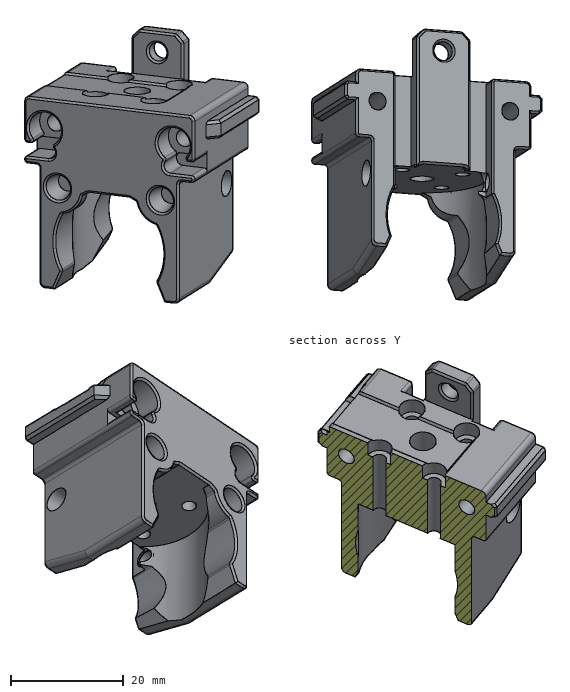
import cadquery as cq
import math

depth = 24.4
body_top = 34.95
body_half_width = 16.45
leg_half_width = 13.5
shoulder_z = 22.6
top_fillet = 1.0
shoulder_fillet = 0.6
foot_fillet = 1.0
foot_slope_start_y = 14.3
foot_slope_rise = 3.1
edge_chamfer = 0.4

arch_radius = 10.45
arch_z = 8.85
arch_top = 18.55
lip_z = 3.58
lip_fillet = 0.5
foot_gap_half_width = 10.65
boss_radius = 4.8
boss_blend = 0.5

bore_y = 12.6
bore_radius = 11.45

insert_mouth = 4.7
side_insert_mouth = 4.6
side_insert_end = 3.7
cross_hole = 3.4
insert_end = 3.4
insert_depth = 4.0
front_insert_x = 9.95
front_insert_z = 18.8
side_insert_y = 21.2
side_insert_z = 16.75

screw_x = 12.45
screw_z = 29.25
screw_hole = 3.2
screw_head = 6.25
screw_head_depth = 5.0
slot_depth = 5.85
slot_height = 2.55
slot_z = 25.15
slot_bottom = slot_z - slot_height / 2
slot_top = slot_z + slot_height / 2
slot_inner_x = 10.5
slot_mouth_fillet = 0.6
pocket_blend = 0.5

tab_top = 43.1
tab_width = 10.0
tab_thickness = 3
tab_corner = 1.45
tab_corner_fillet = 0.6
tab_hole = 3.4
tab_hole_z = 39.35
notch_half_width = 9.05
notch_fillet = 0.6
notch_depth = 3.27

rail_half_width = 18.505
rail_root_x = body_half_width - 0.45
rail_bottom = 29.25
rail_top = 32.55
rail_chamfer = 0.5
rail_front_y = 5.2

channel_width = 9.48
channel_depth = 0.4
channel_end_x = 7.93
mouth_floor_width = 8.15
mouth_depth = 3.1
mouth_inset = 0.47
mount_pitch = 11.3
mount_hole = 2.6
mount_head = 4.6
mount_head_depth = 3
center_hole = 4.2
center_head = 4.7
center_head_depth = 5.0

reach = 43.1
along_depth = (0, depth)


def box(x_range, y_range, z_range):
    """Box given by its lowest and highest coordinate along each axis."""
    size = [high - low for low, high in (x_range, y_range, z_range)]
    corner = (x_range[0], y_range[0], z_range[0])
    return cq.Workplane().box(*size, centered=False).translate(corner)


def prism_y(points, length=depth):
    """Extrude an XZ outline from the front face toward +Y."""
    return cq.Workplane("XZ").polyline(points).close().extrude(-length)


def prism_x(points, x_start, x_end):
    """Extrude a YZ outline between two X positions."""
    return cq.Workplane("YZ", origin=(x_start, 0, 0)).polyline(points).close().extrude(x_end - x_start)


def cylinder_y(x, z, diameter, length=depth):
    """Cylinder running from the front face toward +Y."""
    return cq.Workplane("XZ").center(x, z).circle(diameter / 2).extrude(-length)


def cylinder_z(x, y, diameter, z_start, z_end):
    return cq.Workplane(origin=(x, y, z_start)).circle(diameter / 2).extrude(z_end - z_start)


def cone(large_diameter, small_diameter, length, origin, direction):
    """Cone that narrows from origin along direction."""
    return cq.Workplane(obj=cq.Solid.makeCone(large_diameter / 2, small_diameter / 2, length,
                                              pnt=cq.Vector(*origin), dir=cq.Vector(*direction)))


def edges_within(x_range, y_range, z_range):
    """Selector for edges whose centre lies in the given ranges."""
    low, high = zip(x_range, y_range, z_range)
    return cq.selectors.BoxSelector(low, high)


def around(value):
    """Narrow range that picks out one coordinate."""
    return value - 0.05, value + 0.05



def make_half_body():
    body = prism_y([
        (0, 0),
        (leg_half_width, 0),
        (leg_half_width, shoulder_z),
        (body_half_width, shoulder_z),
        (body_half_width, body_top),
        (0, body_top),
    ])
    body = body.cut(prism_x([
        (foot_slope_start_y, 0),
        (depth, foot_slope_rise),
        (depth, 0),
    ], 0, leg_half_width))
    top_corner = edges_within(around(body_half_width), along_depth, around(body_top))
    shoulder_corners = edges_within((leg_half_width - 0.45, reach), along_depth, around(shoulder_z))
    foot_corners = edges_within(around(leg_half_width), (0.45, depth - 0.45), (-0.45, foot_slope_rise))
    body = body.edges(top_corner).fillet(top_fillet)
    body = body.edges("|Y").edges(shoulder_corners).fillet(shoulder_fillet)
    return body.edges(foot_corners).fillet(foot_fillet)


def make_half_arch():
    """Opening between the legs, with the boss left standing in it."""
    lip_half_width = math.sqrt(arch_radius**2 - (arch_z - lip_z)**2)
    arch = cylinder_y(0, arch_z, 2 * arch_radius)
    arch = arch.intersect(box((0, reach), along_depth, (lip_z, arch_top)))
    flare = [
        (0, 0),
        (0, lip_z),
        (lip_half_width, lip_z),
        (foot_gap_half_width, 0),
    ]
    arch = arch.union(prism_y(flare))
    arch = arch.cut(cylinder_y(front_insert_x, front_insert_z, 2 * boss_radius))
    boss_ends = edges_within((0.45, reach), along_depth, (arch_z + 2.15, arch_top - 0.2))
    lip = edges_within((0.45, reach), along_depth, around(lip_z))
    arch = arch.edges("|Y").edges(boss_ends).fillet(boss_blend)
    arch = arch.edges("|Y").edges(lip).fillet(lip_fillet)

    flare_start = cq.Workplane("XZ", origin=(0, foot_slope_start_y, 0)).polyline(flare).close()
    climb = cq.Vector(0, depth - foot_slope_start_y, foot_slope_rise)
    return arch.union(cq.Workplane(obj=cq.Solid.extrudeLinear(flare_start.val(), [], climb)))


def make_screw_pocket():
    """Screw head pocket joined to the cable slot that opens at the side of the block."""
    slot_center_x = slot_inner_x + slot_height / 2
    slot = cylinder_y(slot_center_x, slot_z, slot_height, slot_depth)
    slot = slot.union(box((slot_center_x, reach), (0, slot_depth), (slot_bottom, slot_top)))
    pocket = cylinder_y(screw_x, screw_z, screw_head, screw_head_depth).union(slot)
    junctions = edges_within((0, reach), (0, screw_head_depth), (slot_z + 0.45, screw_z - 0.85))
    return pocket.edges("|Y").edges(junctions).fillet(pocket_blend)


def make_half_tab():
    half_width = tab_width / 2
    tab = prism_y([
        (0, body_top - top_fillet),
        (0, tab_top),
        (half_width - tab_corner, tab_top),
        (half_width, tab_top - tab_corner),
        (half_width, body_top - top_fillet),
    ], tab_thickness)
    slanted_ends = edges_within((0.45, reach), along_depth, (tab_top - tab_corner - 0.45, reach + 0.45))
    tab = tab.edges("|Y").edges(slanted_ends).fillet(tab_corner_fillet)
    tab = tab.cut(cylinder_y(0, tab_hole_z, tab_hole))
    tab = tab.faces("<Y").edges("not (<X or <Z)").chamfer(edge_chamfer)
    return tab.translate((0, depth - tab_thickness, 0))


def make_rail():
    slope_run = rail_half_width - body_half_width
    rail = cq.Workplane(origin=(0, 0, rail_bottom)).polyline([
        (rail_root_x, rail_front_y),
        (body_half_width, rail_front_y),
        (rail_half_width, rail_front_y + slope_run),
        (rail_half_width, depth),
        (rail_root_x, depth),
    ]).close().extrude(rail_top - rail_bottom)
    long_edges = edges_within((body_half_width + 0.45, reach), (0, depth - 0.45), (0, reach))
    return rail.edges(long_edges).edges("#Z").chamfer(rail_chamfer)


def make_half():
    half = make_half_body().cut(make_half_arch()).cut(make_screw_pocket())
    slot_mouth = edges_within(around(body_half_width), (0, slot_depth), (slot_bottom - 0.05, slot_top + 0.05))
    half = half.edges("|Y").edges(slot_mouth).fillet(slot_mouth_fillet)
    half = half.faces("<Y").edges("not <X").chamfer(edge_chamfer)

    half = half.cut(box((tab_width / 2, notch_half_width), (depth - notch_depth, depth), (0, body_top)))
    notch_rim = edges_within(around(notch_half_width), (depth - notch_depth, depth), around(body_top))
    half = half.edges(notch_rim).fillet(notch_fillet)
    half = half.union(make_rail()).union(make_half_tab())
    half = half.faces(">Y").edges("not <X").chamfer(edge_chamfer)

    countersink_mouth = insert_mouth + 2 * edge_chamfer
    half = half.cut(cone(countersink_mouth, insert_mouth, edge_chamfer,
                         (front_insert_x, 0, front_insert_z), (0, 1, 0)))
    half = half.cut(cone(insert_mouth, insert_end, insert_depth,
                         (front_insert_x, edge_chamfer, front_insert_z), (0, 1, 0)))
    half = half.cut(cone(side_insert_mouth, side_insert_end, insert_depth,
                         (leg_half_width, side_insert_y, side_insert_z), (-1, 0, 0)))
    return half.cut(cylinder_y(screw_x, screw_z, screw_hole))


def make_channel():
    """Shallow channel with 45 degree sides that runs out at the dovetail mouth."""
    channel_length = channel_end_x + reach
    channel = cq.Workplane(origin=(channel_end_x - channel_length / 2, bore_y, body_top))
    return channel.rect(channel_length, channel_width).extrude(-channel_depth, taper=45)


def make_dovetail_mouth():
    half_floor = mouth_floor_width / 2
    half_top = half_floor + mouth_depth
    return prism_x([
        (bore_y - half_top, body_top),
        (bore_y - half_floor, body_top - mouth_depth),
        (bore_y + half_floor, body_top - mouth_depth),
        (bore_y + half_top, body_top),
    ], -reach, -body_half_width + mouth_inset)


half = make_half()
body = half.union(half.mirror("YZ"))

body = body.cut(cylinder_z(0, bore_y, 2 * bore_radius, 0, arch_top))
cross_plane = cq.Workplane("YZ", origin=(-leg_half_width, 0, 0)).center(side_insert_y, side_insert_z)
body = body.cut(cross_plane.circle(cross_hole / 2).extrude(2 * leg_half_width))

body = body.cut(make_channel()).cut(make_dovetail_mouth())
mount_points = [(x * mount_pitch / 2, bore_y + y * mount_pitch / 2) for x in (-1, 1) for y in (-1, 1)]
for x, y in mount_points:
    body = body.cut(cylinder_z(x, y, mount_head, body_top - mount_head_depth, body_top))
    body = body.cut(cylinder_z(x, y, mount_hole, 0, body_top))
body = body.cut(cylinder_z(0, bore_y, center_head, body_top - center_head_depth, body_top))
body = body.cut(cylinder_z(0, bore_y, center_hole, 0, body_top))

result = body